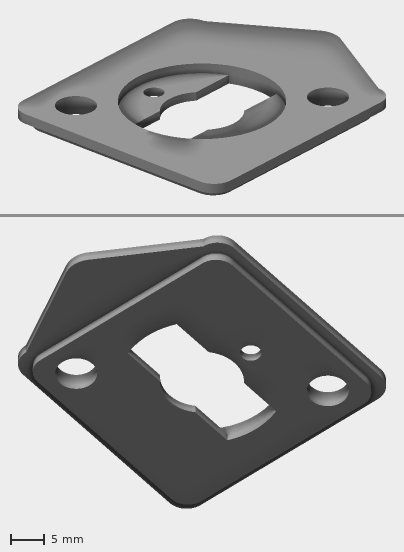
import cadquery as cq
import math

plate_width = 41.3
plate_length = 50.8
plate_thickness = 1.6
total_height = 3.05
corner_radius = 3.3
peak_radius = 4.2
step_width = 38.1
step_corner_radius = 3.2
recess_diameter = 25.4
slot_width = 9.55
slot_centre_diameter = 12.7
bolt_hole_diameter = 6.35
bolt_circle_radius = 19.05
bolt_angle = 45.0
pin_hole_diameter = 3.2
pin_offset = 9.55

step_height = total_height - plate_thickness
floor_thickness = step_height
half_width = plate_width / 2
peak_y = plate_length - half_width


def rounded_square(width, height, radius):
    """Square block on the XY plane with rounded vertical edges."""
    return cq.Workplane("XY").rect(width, width).extrude(height).edges("|Z").fillet(radius)


def cylinder(diameter, height, x=0, y=0):
    """Vertical cylinder standing on the XY plane."""
    return cq.Workplane("XY").center(x, y).circle(diameter / 2).extrude(height)


def gable():
    """Triangular extension with a rounded peak tangent to both slopes."""
    base_x = half_width - corner_radius
    peak_centre_y = peak_y - peak_radius
    rise = peak_centre_y - half_width
    distance = math.hypot(base_x, rise)
    slope = math.atan2(rise, base_x) + math.asin(peak_radius / distance)
    tangent_x = peak_radius * math.sin(slope)
    tangent_y = peak_centre_y + peak_radius * math.cos(slope)
    return (
        cq.Workplane("XY")
        .moveTo(-base_x, 0)
        .lineTo(-base_x, half_width)
        .lineTo(-tangent_x, tangent_y)
        .threePointArc((0, peak_y), (tangent_x, tangent_y))
        .lineTo(base_x, half_width)
        .lineTo(base_x, 0)
        .close()
        .extrude(plate_thickness)
    )


def floor_opening():
    """Slot across the recess, widened by a central round hole."""
    slot = cq.Workplane("XY").rect(slot_width, recess_diameter).extrude(total_height)
    slot = slot.intersect(cylinder(recess_diameter, total_height))
    return slot.union(cylinder(slot_centre_diameter, total_height))


plate = rounded_square(plate_width, plate_thickness, corner_radius).union(gable())
step = rounded_square(step_width, step_height, step_corner_radius)
result = step.union(plate.translate((0, 0, step_height)))

recess = cylinder(recess_diameter, total_height - floor_thickness)
result = result.cut(recess.translate((0, 0, floor_thickness)))
result = result.cut(floor_opening())
result = result.cut(cylinder(pin_hole_diameter, total_height, x=-pin_offset))

for angle in (bolt_angle, bolt_angle + 180):
    bolt_x = bolt_circle_radius * math.cos(math.radians(angle))
    bolt_y = bolt_circle_radius * math.sin(math.radians(angle))
    result = result.cut(cylinder(bolt_hole_diameter, total_height, bolt_x, bolt_y))